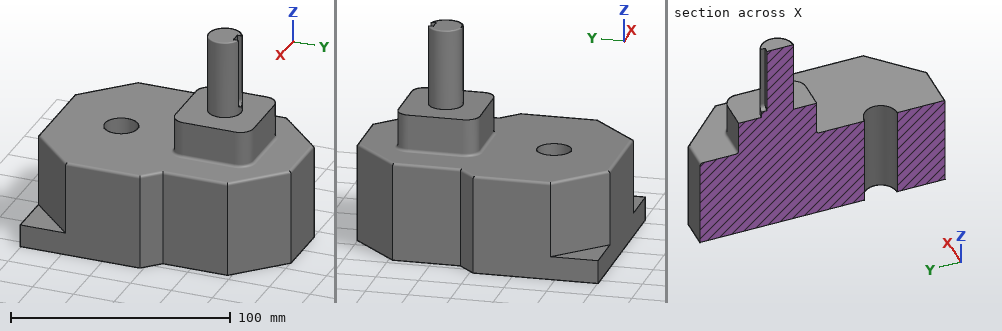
import cadquery as cq

width = 88.9
length = 120.6
body_height = 46.7
narrow_width = 72.9
corner_cut = width / 4
shoulder_start = 58.6
foot_height = 11.1
edge_round = 1.3

shaft_spacing = 50.8
bore_y = 31.7
shaft_y = bore_y + shaft_spacing
boss_side = 38.4
boss_corner_radius = 6.4
boss_height = 17.7
boss_base_fillet = 1.3
shaft_diameter = 15.9
shaft_length = 37.9
shaft_edge_round = 0.6
bore_diameter = shaft_diameter

key_width = 4.7
key_depth = 2.8
key_end_height = 3.1

boss_top = body_height + boss_height
half_width = width / 2
half_narrow = narrow_width / 2
shoulder_end = shoulder_start + half_width - half_narrow


def make_housing():
    right_side = [
        (half_width - corner_cut, 0),
        (half_width, corner_cut),
        (half_width, shoulder_start),
        (half_narrow, shoulder_end),
        (half_narrow, length - corner_cut),
        (half_narrow - corner_cut, length),
    ]
    left_side = [(-x, y) for x, y in reversed(right_side)]
    outline = cq.Workplane("XY").polyline(right_side + left_side).close()
    return outline.extrude(body_height).faces(">Z").edges().fillet(edge_round)


def make_foot():
    """Low square-cornered base below the two cut front corners."""
    return cq.Workplane("XY").box(width, shoulder_start, foot_height, centered=(True, False, False))


def make_boss():
    boss = cq.Workplane("XY", origin=(0, shaft_y, body_height)).rect(boss_side, boss_side)
    return boss.extrude(boss_height).edges("|Z").fillet(boss_corner_radius)


def make_shaft():
    shaft = cq.Workplane("XY", origin=(0, shaft_y, boss_top)).circle(shaft_diameter / 2)
    return shaft.extrude(shaft_length).faces(">Z").edges().fillet(shaft_edge_round)


def make_keyway():
    key_radius = key_width / 2
    end_z = boss_top + key_end_height
    top_z = boss_top + shaft_length
    floor_y = shaft_y + shaft_diameter / 2 - key_depth
    profile = (
        cq.Workplane("XZ", origin=(0, floor_y, 0))
        .moveTo(-key_radius, top_z)
        .lineTo(-key_radius, end_z + key_radius)
        .threePointArc((0, end_z), (key_radius, end_z + key_radius))
        .lineTo(key_radius, top_z)
        .close()
    )
    return profile.extrude(-shaft_diameter)


def make_bore():
    return cq.Workplane("XY", origin=(0, bore_y, 0)).circle(bore_diameter / 2).extrude(body_height)


housing = make_housing().union(make_foot()).union(make_boss())

foot_reach = 0.6 * boss_side
foot_band = 0.1
boss_foot = cq.selectors.BoxSelector(
    (-foot_reach, shaft_y - foot_reach, body_height - foot_band),
    (foot_reach, shaft_y + foot_reach, body_height + foot_band),
)
housing = housing.edges(boss_foot).fillet(boss_base_fillet)

result = housing.union(make_shaft()).cut(make_keyway()).cut(make_bore())